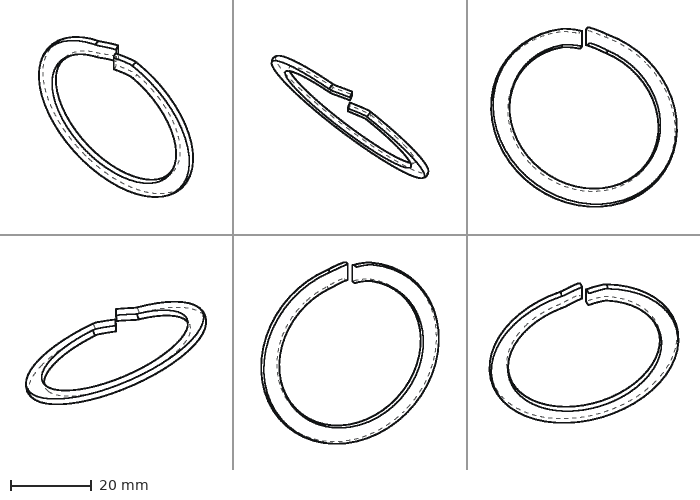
import cadquery as cq
import math

OUTER_RADIUS = 23.95
BORE_RADIUS = 19.2
THICKNESS = 1.6
CROWN = 0.3
BEND_START = 5.85
BEND_ANGLE = 15.0
BEND_INNER_RADIUS = 3.35
HALF_GAP = 0.36
TIP_ROUND = 0.25
BEND_STEPS = 4
TIP_STEPS = 3

HALF = THICKNESS / 2
BEND_RADIUS = BEND_INNER_RADIUS + HALF
ANGLE = math.radians(BEND_ANGLE)
BEND_END_X = -BEND_START + BEND_RADIUS * math.sin(ANGLE)
BEND_END_Y = BEND_RADIUS * (1 - math.cos(ANGLE))
TIP_LENGTH = (-HALF_GAP - HALF * math.sin(ANGLE) - BEND_END_X) / math.cos(ANGLE)


def crowned_section(plane, x):
    """Strip section with crowned ends, reaching the ring radii at distance x off centre."""
    top = math.sqrt(OUTER_RADIUS**2 - x**2)
    bottom = math.sqrt(BORE_RADIUS**2 - x**2)
    return (
        cq.Workplane(plane)
        .moveTo(-HALF, bottom + CROWN)
        .threePointArc((0, bottom), (HALF, bottom + CROWN))
        .lineTo(HALF, top - CROWN)
        .threePointArc((0, top), (-HALF, top - CROWN))
        .close()
    )


def section_across(x, y, angle):
    """Section wire square to the strip's midline at (x, y), heading at angle from X."""
    across = (-math.sin(angle), math.cos(angle), 0)
    along = (math.cos(angle), math.sin(angle), 0)
    plane = cq.Plane(origin=(x, y, 0), xDir=across, normal=along)
    return crowned_section(plane, x).val()


def bend_section(angle):
    x = -BEND_START + BEND_RADIUS * math.sin(angle)
    y = BEND_RADIUS * (1 - math.cos(angle))
    return section_across(x, y, angle)


def tip_section(distance):
    x = BEND_END_X + distance * math.cos(ANGLE)
    y = BEND_END_Y + distance * math.sin(ANGLE)
    return section_across(x, y, ANGLE)


def flat_ring():
    """Crowned ring with the sector between the two bends removed."""
    profile = crowned_section(cq.Plane(origin=(0, 0, 0), xDir=(0, 1, 0), normal=(1, 0, 0)), 0)
    ring = profile.revolve(360, (0, 0, 0), (1, 0, 0))
    opening = cq.Workplane("XY").box(
        2 * BEND_START, 2 * THICKNESS, 2 * OUTER_RADIUS, centered=(True, True, False)
    )
    return ring.cut(opening)


def bent_end():
    """Left end: an arc bend toward +Y, then a straight tip with its outward corner rounded."""
    bend = cq.Solid.makeLoft([bend_section(ANGLE * i / BEND_STEPS) for i in range(BEND_STEPS + 1)])
    tip = cq.Solid.makeLoft([tip_section(TIP_LENGTH * i / TIP_STEPS) for i in range(TIP_STEPS + 1)])
    rounded_tip = cq.Workplane(tip).edges(">Y").fillet(TIP_ROUND)
    return cq.Workplane(bend).union(rounded_tip)


left_end = bent_end()
right_end = left_end.rotate((0, 0, 0), (0, 0, 1), 180)
result = flat_ring().union(left_end).union(right_end)